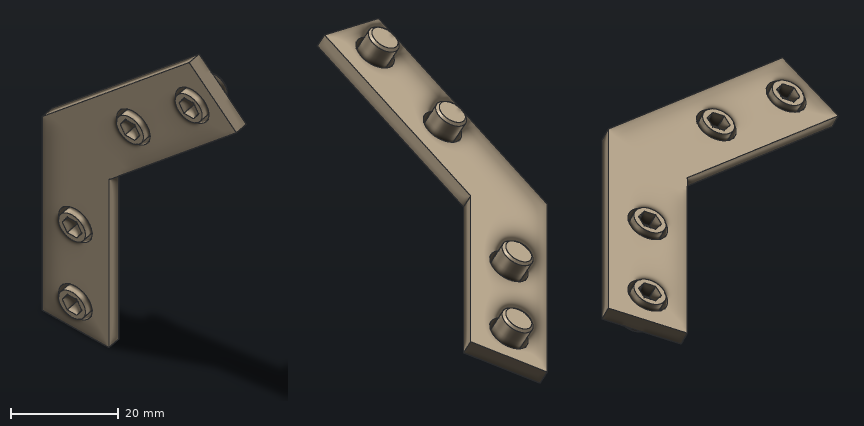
import cadquery as cq
import math

plate_height = 85.4
leg_length = 50.0
strip_width = 16.05
plate_thickness = 3.0
bend_angle = 45.0

hole_diameter = 8.0
screw_diameter = 6.5
front_projection = 1.0
back_projection = 4.0
tip_chamfer = 0.5
socket_across_flats = 4.0
socket_depth = 3.0
end_distance = 7.0
screw_spacing = 20.0

bend = math.radians(bend_angle)
arm_rise = plate_height - leg_length
arm_run = arm_rise * math.tan(bend)
arm_end_x = strip_width * math.cos(bend)
arm_end_z = -strip_width * math.sin(bend)
inner_bend_z = leg_length - strip_width * math.tan(bend / 2)

arm_mid_x = arm_run + arm_end_x / 2
arm_mid_z = plate_height + arm_end_z / 2
screw_centres = []
for distance in (end_distance, end_distance + screw_spacing):
    screw_centres.append((strip_width / 2, distance))
    screw_centres.append((arm_mid_x - distance * math.sin(bend), arm_mid_z - distance * math.cos(bend)))


def along_y(y):
    """Workplane at the given Y with local axes X and Z; a negative extrusion runs toward +Y."""
    return cq.Workplane("XZ", origin=(0, y, 0))


def make_plate():
    outline = [
        (0, 0),
        (strip_width, 0),
        (strip_width, inner_bend_z),
        (arm_run + arm_end_x, plate_height + arm_end_z),
        (arm_run, plate_height),
        (0, leg_length),
    ]
    blank = along_y(0).polyline(outline).close().extrude(-plate_thickness)
    holes = along_y(0).pushPoints(screw_centres).circle(hole_diameter / 2).extrude(-plate_thickness)
    return blank.cut(holes)


def make_screw(x, z):
    length = front_projection + plate_thickness + back_projection
    shank = along_y(-front_projection).center(x, z).circle(screw_diameter / 2).extrude(-length)
    shank = shank.faces(">Y").chamfer(tip_chamfer)
    socket_across_corners = socket_across_flats / math.cos(math.pi / 6)
    socket = along_y(-front_projection).center(x, z).polygon(6, socket_across_corners).extrude(-socket_depth)
    return shank.cut(socket)


plate = make_plate()
screws = [make_screw(x, z) for x, z in screw_centres]

result = cq.Compound.makeCompound([plate.val(), *[screw.val() for screw in screws]])